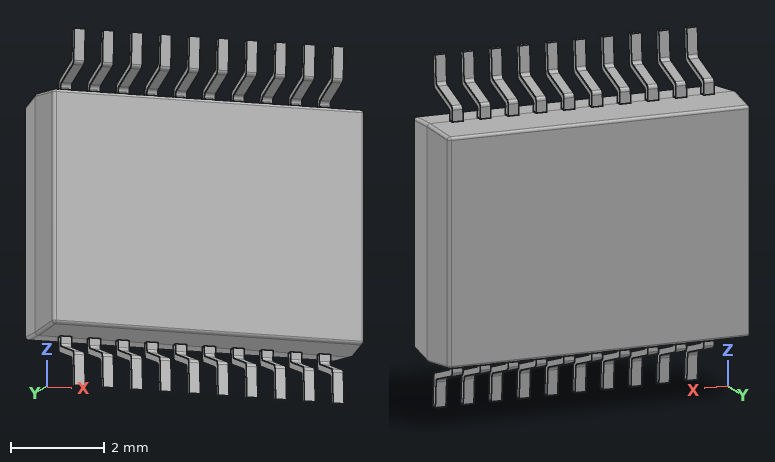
import cadquery as cq
import math

body_width = 7.2
body_height = 5.3
body_depth = 1.95
draft_angle = 5.0
edge_radius = 0.07

lead_count = 10
lead_pitch = 0.65
lead_width = 0.25
lead_thickness = 0.15
lead_bend_radius = 0.09
lead_embed = 0.235
lead_span = 7.82
first_bend_height = 2.87
foot_overhang = 0.03
strut_angle = 72.0
foot_angle = 4.0


def make_body_half():
    """Half of the body on the -Y side of the parting plane."""
    half = cq.Workplane("XZ").rect(body_width, body_height).extrude(body_depth / 2, taper=draft_angle)
    corner_edges = half.edges("not(#Y)")
    return corner_edges.fillet(edge_radius).faces("<Y").edges().fillet(edge_radius)


def mitred_corner(corner, angle_before, angle_after):
    """Corner on the upper face of a lead opposite a bend corner on its -Y face."""
    mean_angle = math.radians((angle_before + angle_after) / 2)
    half_turn = math.radians((angle_after - angle_before) / 2)
    reach = lead_thickness / math.cos(half_turn)
    y, z = corner
    return (y + reach * math.cos(mean_angle), z + reach * math.sin(mean_angle))


def make_lead():
    """One upper lead centred on X = 0, leaving the body at the parting plane."""
    strut_slope = math.tan(math.radians(strut_angle))
    foot_slope = math.tan(math.radians(foot_angle))
    root_z = body_height / 2 - lead_embed
    tip_z = lead_span / 2
    tip_y = -body_depth / 2 - foot_overhang

    first_bend = (-lead_thickness / 2, first_bend_height)
    foot_length = tip_z - first_bend_height
    foot_line_y = tip_y + foot_length * foot_slope
    strut_rise = (first_bend[0] - foot_line_y) / (strut_slope - foot_slope)
    second_bend = (first_bend[0] - strut_rise * strut_slope, first_bend_height + strut_rise)

    tip_thickness = lead_thickness / math.cos(math.radians(foot_angle))
    outline = [
        (-lead_thickness / 2, root_z),
        first_bend,
        second_bend,
        (tip_y, tip_z),
        (tip_y + tip_thickness, tip_z),
        mitred_corner(second_bend, strut_angle, foot_angle),
        mitred_corner(first_bend, 0, strut_angle),
        (lead_thickness / 2, root_z),
    ]
    lead = cq.Workplane("YZ").polyline(outline).close().extrude(lead_width / 2, both=True)
    bend_edges = lead.edges("|X").edges(cq.selectors.BoxSelector(
        (-lead_width, -body_depth, root_z + lead_thickness / 2),
        (lead_width, body_depth, tip_z - lead_thickness / 2),
    ))
    return bend_edges.fillet(lead_bend_radius)


body_half = make_body_half()
result = body_half.union(body_half.mirror("XZ"))

upper_lead = make_lead()
lower_lead = upper_lead.mirror("XY")
for index in range(lead_count):
    lead_x = (index - (lead_count - 1) / 2) * lead_pitch
    result = result.union(upper_lead.translate((lead_x, 0, 0)))
    result = result.union(lower_lead.translate((lead_x, 0, 0)))